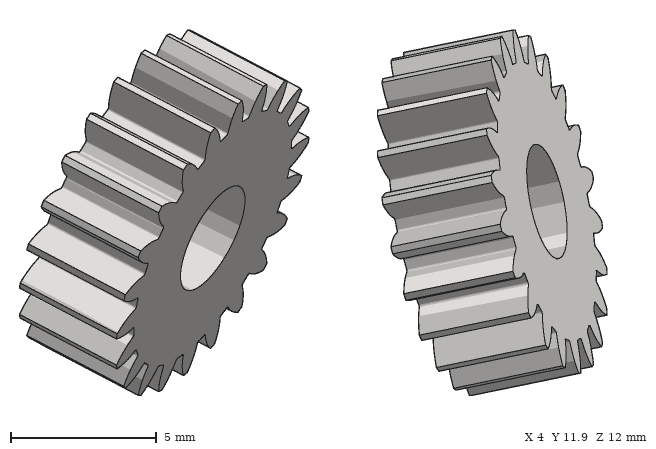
import cadquery as cq
import math

tooth_count = 22
outer_diameter = 12.0
face_width = 4.0
bore_diameter = 4.0
dedendum_factor = 1.25

root_width = 0.91
pitch_width = 0.72
tip_width = 0.25
root_fillet = 0.1

module = outer_diameter / (tooth_count + 2)
outer_radius = outer_diameter / 2
pitch_radius = outer_radius - module
root_radius = pitch_radius - dedendum_factor * module
tooth_pitch = 2 * math.pi / tooth_count


def polar(radius, angle):
    """Point at a polar angle measured from +Z, turning toward -Y."""
    return (-radius * math.sin(angle), radius * math.cos(angle))


def flank(side, turn):
    """Root, pitch and tip points of the tooth flank at side -1 or +1 of the tooth centreline."""
    stations = [
        (root_radius, root_width),
        (pitch_radius, pitch_width),
        (outer_radius, tip_width),
    ]
    return [polar(radius, turn + side * math.asin(width / 2 / radius)) for radius, width in stations]


def gear_outline():
    """Closed outline: arc flanks and tip lands, joined by arcs of the root circle."""
    outline = cq.Workplane("YZ").moveTo(*flank(-1, 0)[0])
    for index in range(tooth_count):
        turn = index * tooth_pitch
        leading = flank(-1, turn)
        trailing = flank(1, turn)
        next_root = flank(-1, turn + tooth_pitch)[0]
        outline = (
            outline.threePointArc(leading[1], leading[2])
            .threePointArc(polar(outer_radius, turn), trailing[2])
            .threePointArc(trailing[1], trailing[0])
            .threePointArc(polar(root_radius, turn + tooth_pitch / 2), next_root)
        )
    return outline.close()


def root_edges(body):
    """Axial edges where the tooth flanks meet the root circle."""
    middle_radius = (root_radius + outer_radius) / 2
    return [
        edge
        for edge in body.edges("|X").vals()
        if math.hypot(edge.Center().y, edge.Center().z) < middle_radius
    ]


blank = gear_outline().extrude(face_width)
gear = blank.newObject(root_edges(blank)).fillet(root_fillet)
bore = cq.Workplane("YZ").circle(bore_diameter / 2).extrude(face_width)
result = gear.cut(bore)